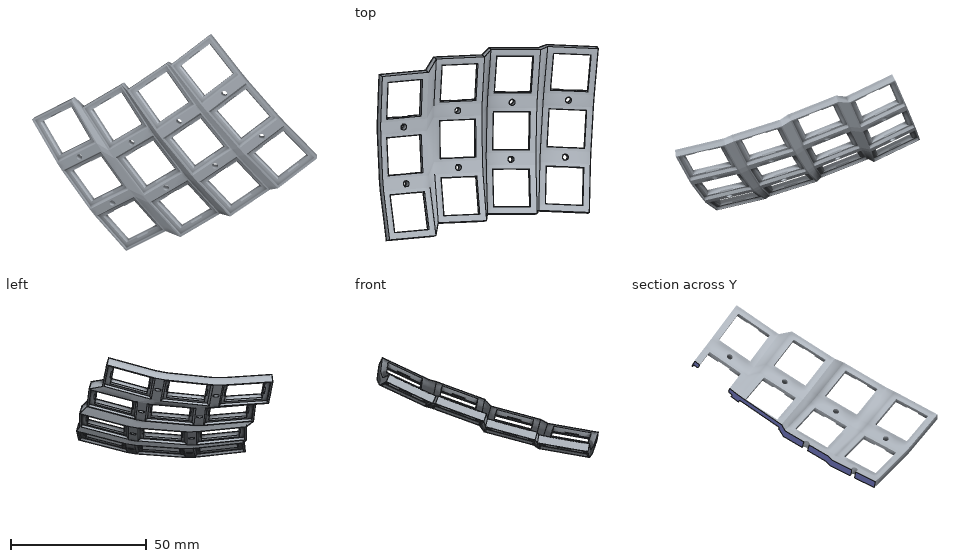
import cadquery as cq
import math


COLUMN_COUNT = 4
ROW_COUNT = 3
ROW_ANGLE = 10.53
ROW_RADIUS = 114.0
MIDDLE_ROW_TILT = -20.67
COLUMN_ANGLE = 5.59
COLUMN_RADIUS = 223.6
REFERENCE_COLUMN = 2
COLUMN_OFFSETS = [(-5.99, 4.33), (-1.61, 2.63), (0.0, 0.0), (0.73, -1.29)]
PLATE_PITCH = 25.28
PLATE_TENT = 15.0
PLATE_POSITION = (11.4, 43.89, 2.6)

KEY_WIDTH = 18.9
KEY_LENGTH = 19.1
THICKNESS = 3.0
OPENING = 14.0
POCKET_SIZE = 17.8
POCKET_DEPTH = 1.0
LIP = 1.5
FLARE_RUN = 0.5
CLIP_FLARE_WIDTH = 5.0

BRIDGE_OVERLAP = 1.32
BRIDGE_SLOPE_RUN = 0.8
BRIDGE_HOLE_DIAMETER = 2.2

CUT_MARGIN = 1.0

POCKET_CEILING = POCKET_DEPTH - THICKNESS
BRIDGE_EDGE = KEY_LENGTH / 2 - BRIDGE_OVERLAP
BRIDGE_UNDERSIDE_EDGE = BRIDGE_EDGE + BRIDGE_SLOPE_RUN


def row_tilt(row):
    """Tilt of a row about X; row 0 is the back row and row 1 the middle one."""
    return MIDDLE_ROW_TILT + ROW_ANGLE * (1 - row)


def on_row(shape, tilt):
    """Carry a shape from the flat position of a key to a tilt along its column."""
    return shape.rotate((0, 0, ROW_RADIUS), (1, 0, ROW_RADIUS), tilt)


def in_column(shape, column):
    """Carry a shape from the column's own frame to its place in the finished plate."""
    turn = COLUMN_ANGLE * (REFERENCE_COLUMN - column)
    offset_y, offset_z = COLUMN_OFFSETS[column]
    placed = shape.rotate((0, 0, COLUMN_RADIUS), (0, 1, COLUMN_RADIUS), turn)
    placed = placed.translate(cq.Vector(0, offset_y, offset_z))
    placed = placed.rotate((0, 0, 0), (1, 0, 0), PLATE_PITCH)
    placed = placed.rotate((0, 0, 0), (0, 1, 0), PLATE_TENT)
    return placed.translate(cq.Vector(*PLATE_POSITION))


def profile_point(row, y, z):
    """Side-profile point (Y, Z) of a row, given in the flat key's own frame."""
    tilt = math.radians(row_tilt(row))
    drop = z - ROW_RADIUS
    return (
        y * math.cos(tilt) - drop * math.sin(tilt),
        y * math.sin(tilt) + drop * math.cos(tilt) + ROW_RADIUS,
    )


def column_profile():
    """Side profile of a column from back to front along the top and back again underneath."""
    top = []
    bottom = []
    for row in range(ROW_COUNT):
        back = back_underside = KEY_LENGTH / 2
        front = front_underside = KEY_LENGTH / 2
        if row > 0:
            back = BRIDGE_EDGE
            back_underside = BRIDGE_UNDERSIDE_EDGE
        if row < ROW_COUNT - 1:
            front = BRIDGE_EDGE
            front_underside = BRIDGE_UNDERSIDE_EDGE
        top.append(profile_point(row, back, 0))
        top.append(profile_point(row, -front, 0))
        bottom.append(profile_point(row, back_underside, -THICKNESS))
        bottom.append(profile_point(row, -front_underside, -THICKNESS))
    return top + bottom[::-1]


def profile_wire(column, x):
    """The side profile at one X of a column, placed in the finished plate."""
    points = [cq.Vector(x, y, z) for y, z in column_profile()]
    return in_column(cq.Wire.makePolygon(points, close=True), column)


def ruled_body(first_wire, second_wire):
    return cq.Solid.makeLoft([first_wire, second_wire], True)


def column_body(column):
    return ruled_body(
        profile_wire(column, -KEY_WIDTH / 2),
        profile_wire(column, KEY_WIDTH / 2),
    )


def column_joint(column):
    """Web from the right side of a column to the left side of the next."""
    return ruled_body(
        profile_wire(column, KEY_WIDTH / 2),
        profile_wire(column + 1, -KEY_WIDTH / 2),
    )


def flare_cutter(plane, width):
    """Outward flare of two opposite opening walls; the section is drawn across those walls."""
    points = [
        (-OPENING / 2, -LIP),
        (OPENING / 2, -LIP),
        (OPENING / 2 + FLARE_RUN, POCKET_CEILING),
        (-OPENING / 2 - FLARE_RUN, POCKET_CEILING),
    ]
    return cq.Workplane(plane).polyline(points).close().extrude(width / 2, both=True).val()


def pocket_cutter(row):
    """Underside pocket: walls along a bridge slope, those at the plate's ends are upright."""
    back_ceiling = back_underside = POCKET_SIZE / 2
    front_ceiling = front_underside = POCKET_SIZE / 2
    if row > 0:
        back_ceiling = BRIDGE_EDGE
        back_underside = BRIDGE_UNDERSIDE_EDGE
    if row < ROW_COUNT - 1:
        front_ceiling = BRIDGE_EDGE
        front_underside = BRIDGE_UNDERSIDE_EDGE
    points = [
        (-front_ceiling, POCKET_CEILING),
        (back_ceiling, POCKET_CEILING),
        (back_underside, -THICKNESS),
        (back_underside, -THICKNESS - CUT_MARGIN),
        (-front_underside, -THICKNESS - CUT_MARGIN),
        (-front_underside, -THICKNESS),
    ]
    return cq.Workplane("YZ").polyline(points).close().extrude(POCKET_SIZE / 2, both=True).val()


def switch_cutter(row):
    """Opening, flared walls and underside pocket of one key."""
    corner = cq.Vector(-OPENING / 2, -OPENING / 2, -THICKNESS)
    opening = cq.Solid.makeBox(OPENING, OPENING, THICKNESS + CUT_MARGIN, corner)
    side_flare = flare_cutter("XZ", OPENING)
    clip_flare = flare_cutter("YZ", CLIP_FLARE_WIDTH)
    return opening.fuse(pocket_cutter(row), side_flare, clip_flare)


def bridge_hole_cutter():
    length = 2 * (THICKNESS + CUT_MARGIN)
    return cq.Solid.makeCylinder(BRIDGE_HOLE_DIAMETER / 2, length, cq.Vector(0, 0, -length / 2))


def plate_body():
    bodies = [column_body(column) for column in range(COLUMN_COUNT)]
    bodies += [column_joint(column) for column in range(COLUMN_COUNT - 1)]
    return bodies[0].fuse(*bodies[1:])


def all_cutters():
    cutters = []
    for column in range(COLUMN_COUNT):
        for row in range(ROW_COUNT):
            cutters.append(in_column(on_row(switch_cutter(row), row_tilt(row)), column))
        for row in range(ROW_COUNT - 1):
            between = (row_tilt(row) + row_tilt(row + 1)) / 2
            cutters.append(in_column(on_row(bridge_hole_cutter(), between), column))
    return cutters


result = cq.Workplane("XY").newObject([plate_body().cut(*all_cutters()).Solids()[0]])